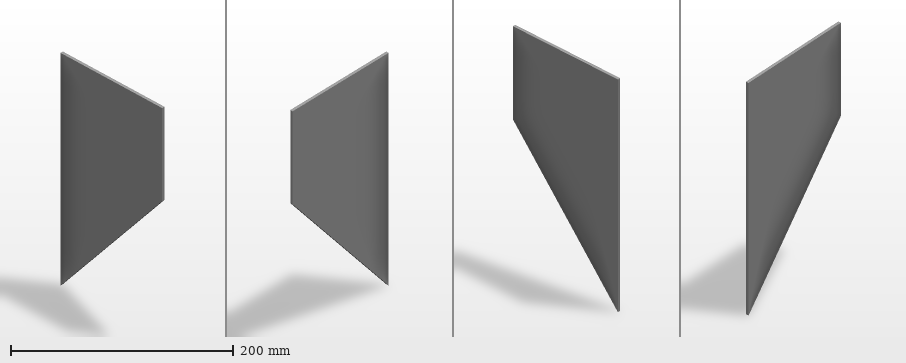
import cadquery as cq

width = 127.0
height = 254.0
thickness = 3.0
short_side = 101.5

outline = [
    (0, 0),
    (width, height - short_side),
    (width, height),
    (0, height),
]

result = cq.Workplane("XZ").polyline(outline).close().extrude(-thickness)